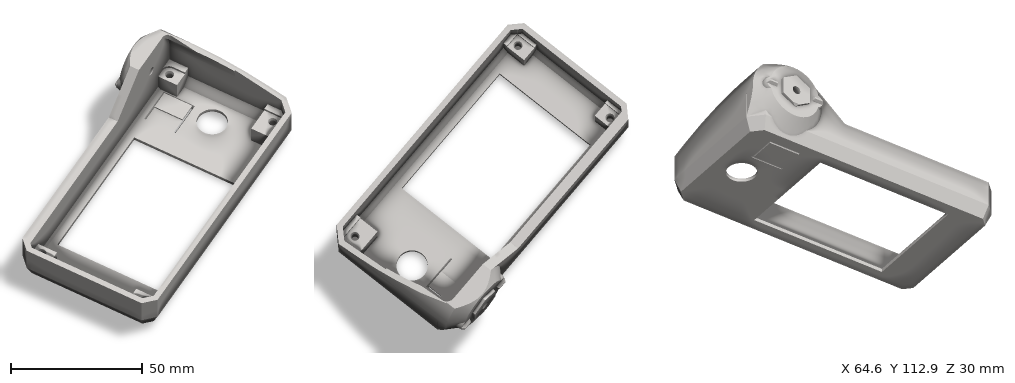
import cadquery as cq
import math

case_width = 59.5
case_length = 112.86
top_z = 30.0
rim_z = 16.3
bevel_height = 5.5
bevel_inset = 2.4
front_corner = 4.5
back_corner = 5.4

wall = 2.25
left_wall = 3.9
floor_thickness = 1.5
floor_x = (4.8, 55.1)
floor_y = (4.4, 107.3)

hub_y = case_length - 16.05
hub_z = 18.4
hub_reach = 3.9
hub_face_radius = 11.2
hub_inner_depth = 5.0
back_round_radius = case_length - hub_y
hub_bore = 3.5
detail_reach = 5.11
hex_flats = 12.2
hex_tip_cut = 0.9
knob_diameter = 6.5
knob_x = -2.1
knob_offset = 10.2
pointer_base = (8.1, 13.1)
pointer_top = (8.6, 12.1)
pointer_base_height = 2.0
pointer_top_height = 0.7

panel_top_front_y = 87.3
panel_slope_end_y = 70.9
scoop_end_x = 32.8
board_corner_radius = 3.0

board_front_y = 3.6
board_back_y = case_length - 4.78
board_right_x = 55.5
seat_z = 9.0
ledge_height = 1.0
post_inner_left_x = 12.2
post_inner_right_x = 47.1
front_post_end_y = 9.8
back_left_post_start_y = case_length - 10.85
back_right_post_start_y = case_length - 14.8
screw_x = (7.2, 52.55)
screw_y = (6.85, 104.95)
screw_bore = 2.7
screw_mouth = 3.5
screw_mouth_depth = 1.0
screw_depth = 5.0

window_x = (7.6, 52.3)
window_y = (18.1, 77.1)
round_window = 12.0
round_window_y = 98.36
flex_x = (6.5, 20.3)
flex_y = (86.8, 101.6)
flex_slot = 0.75
pad_front_y = 93.3
pad_height = 0.6


def block(x_range, y_range, z_range):
    """Axis-aligned box between pairs of coordinates."""
    size = [high - low for low, high in (x_range, y_range, z_range)]
    corner = (x_range[0], y_range[0], z_range[0])
    return cq.Workplane("XY").box(*size, centered=False).translate(corner)


def rectangle(x_range, y_range, outset=0):
    """Corner points of a rectangle grown outward on all sides."""
    left, right = x_range[0] - outset, x_range[1] + outset
    near, far = y_range[0] - outset, y_range[1] + outset
    return [(left, near), (right, near), (right, far), (left, far)]


def chamfered_outline(inset):
    """Corner points of the case outline moved inward, chamfers kept parallel."""
    shrink = inset * (2 - math.sqrt(2))
    front = front_corner - shrink
    back = back_corner - shrink
    left, right = inset, case_width - inset
    near, far = inset, case_length - inset
    return [
        (left + front, near),
        (right - front, near),
        (right, near + front),
        (right, far - back),
        (right - back, far),
        (left + back, far),
        (left, far - back),
        (left, near + front),
    ]


def prism(points, bottom, top):
    return cq.Workplane("XY").workplane(offset=bottom).polyline(points).close().extrude(top - bottom)


def frustum(lower, upper, bottom, top):
    return (
        cq.Workplane("XY").workplane(offset=bottom).polyline(lower).close()
        .workplane(offset=top - bottom).polyline(upper).close()
        .loft(ruled=True)
    )


def x_cylinder(radius, x_start, x_end):
    """Cylinder about the hub axis."""
    return (
        cq.Workplane("YZ", origin=(x_start, hub_y, hub_z)).circle(radius).extrude(x_end - x_start)
    )


def low_case():
    """Solid case up to the rim, with a sloped lower edge."""
    rim = chamfered_outline(0)
    base = chamfered_outline(bevel_inset)
    return frustum(base, rim, 0, bevel_height).union(prism(rim, bevel_height, rim_z))


def side_panel():
    """Left wall raised beside the hub, sloping down to the rim toward the front."""
    profile = [
        (panel_slope_end_y, rim_z),
        (panel_top_front_y, top_z),
        (hub_y, top_z),
        (hub_y, rim_z),
    ]
    return cq.Workplane("YZ").polyline(profile).close().extrude(left_wall)


def raised_back():
    """Back of the case falling from the hub to the rim, rounded about the hub axis."""
    start_x = back_round_radius - hub_face_radius - hub_reach
    wedge = (
        cq.Workplane("XZ", origin=(0, case_length, 0))
        .polyline([
            (start_x, rim_z),
            (case_width - back_corner, rim_z),
            (left_wall, top_z),
            (start_x, top_z),
        ])
        .close().extrude(back_round_radius)
    )
    flat_part = block((start_x, case_width), (hub_y, case_length), (rim_z, hub_z))
    return wedge.intersect(x_cylinder(back_round_radius, start_x, case_width).union(flat_part))


def hub_cone():
    """45-degree cone widening from the hub face into the case."""
    inner_radius = hub_face_radius + hub_reach + hub_inner_depth
    profile = [
        (-hub_reach, 0),
        (hub_inner_depth, 0),
        (hub_inner_depth, inner_radius),
        (-hub_reach, hub_face_radius),
    ]
    cone = cq.Workplane("XY").polyline(profile).close().revolve(360, (0, 0, 0), (1, 0, 0))
    return cone.translate((0, hub_y, hub_z))


def hub():
    """Cone kept within the top, the rounded back and the side panel."""
    below = block((-hub_reach, hub_inner_depth), (0, case_length), (0, hub_z))
    limit = below.union(x_cylinder(back_round_radius, -hub_reach, hub_inner_depth))
    limit = limit.cut(block((0, hub_inner_depth), (0, hub_y), (hub_z, top_z)))
    ceiling = block((-hub_reach, hub_inner_depth), (0, case_length), (0, top_z))
    return hub_cone().intersect(limit).intersect(ceiling)


def hex_boss():
    """Hexagon on the hub face, its lowest corner cut back at an angle."""
    height = detail_reach - hub_reach
    corner_radius = hex_flats / 2 / math.cos(math.pi / 6)
    lowest_z = hub_z - corner_radius
    prism_body = (
        cq.Workplane("YZ", origin=(-detail_reach, hub_y, hub_z))
        .transformed(rotate=(0, 0, 90))
        .polygon(6, 2 * corner_radius)
        .extrude(height)
    )
    tip = (
        cq.Workplane("XZ", origin=(-detail_reach, hub_y, lowest_z))
        .polyline([(0, 0), (height, 0), (0, hex_tip_cut)]).close()
        .extrude(corner_radius / 2, both=True)
    )
    return prism_body.cut(tip)


def knob(side):
    """Ball half sunk in the cone of the hub and trimmed flush with the hub face."""
    ball = cq.Workplane("XY").sphere(knob_diameter / 2)
    ball = ball.translate((knob_x, hub_y + side * knob_offset, hub_z))
    return ball.intersect(block((-hub_reach, left_wall), (0, case_length), (0, top_z)))


def pointer(side):
    """Ridge on the hub face running from the hexagon side out over the knob."""
    base_middle = side * sum(pointer_base) / 2
    top_middle = side * sum(pointer_top) / 2
    return (
        cq.Workplane("YZ", origin=(-hub_reach, hub_y, hub_z))
        .center(base_middle, 0).rect(pointer_base[1] - pointer_base[0], pointer_base_height)
        .workplane(offset=hub_reach - detail_reach)
        .center(top_middle - base_middle, 0).rect(pointer_top[1] - pointer_top[0], pointer_top_height)
        .loft()
    )


def cavity():
    """Inside of the case: sloped floor borders, plain walls and a round scoop beside the hub."""
    inner = prism(chamfered_outline(wall), floor_thickness, hub_z)
    heights = (floor_thickness, hub_z)
    square_back_left = block((left_wall, post_inner_left_x), (hub_y, case_length - wall), heights)
    inner = inner.union(square_back_left)
    rise = hub_z - floor_thickness
    sloped = frustum(rectangle(floor_x, floor_y), rectangle(floor_x, floor_y, rise), floor_thickness, hub_z)
    space = inner.intersect(sloped)
    scoop = x_cylinder(back_round_radius - wall, left_wall, scoop_end_x)
    scoop = scoop.intersect(block((left_wall, scoop_end_x), (hub_y, case_length), (hub_z, top_z)))
    straight = block((scoop_end_x, case_width), (hub_y, case_length - wall), (hub_z, top_z))
    space = space.union(scoop).union(straight)
    return space.intersect(block((left_wall, case_width), (0, case_length), (0, top_z)))


def board_clearance():
    """Space for the board, open to the top."""
    space = block((left_wall, board_right_x), (board_front_y, board_back_y), (seat_z, top_z))
    return space.faces("<X").edges("|Z and >Y").fillet(board_corner_radius)


def posts():
    """Corner posts that carry the board, up to the ledge around it."""
    back = case_length - wall
    heights = (floor_thickness, seat_z + ledge_height)
    left = (left_wall, post_inner_left_x)
    right = (post_inner_right_x, case_width - wall)
    corners = [
        (left, (wall, front_post_end_y)),
        (right, (wall, front_post_end_y)),
        (left, (back_left_post_start_y, back)),
        (right, (back_right_post_start_y, back)),
    ]
    solid = cq.Workplane("XY")
    for x_range, y_range in corners:
        solid = solid.union(block(x_range, y_range, heights))
    return solid


def screw_holes():
    """Blind holes in the posts, each with a tapered mouth."""
    holes = cq.Workplane("XY")
    for x in screw_x:
        for y in screw_y:
            hole = (
                cq.Workplane("XY", origin=(x, y, seat_z)).circle(screw_mouth / 2)
                .workplane(offset=-screw_mouth_depth).circle(screw_bore / 2).loft()
                .faces("<Z").workplane().circle(screw_bore / 2).extrude(screw_depth - screw_mouth_depth)
            )
            holes = holes.union(hole)
    return holes


def flex_frustum(inset):
    """Block with three sides sloping inward down to the underside of the floor."""
    def outline(extra):
        return rectangle((flex_x[0] + extra, flex_x[1] - extra), (flex_y[0], flex_y[1] - extra))

    return frustum(outline(inset + flex_slot), outline(inset), 0, floor_thickness)


def flex_pad():
    """Raised pad on the free end of the flexible tongue."""
    x_range = (flex_x[0] + flex_slot, flex_x[1] - flex_slot)
    y_range = (pad_front_y, flex_y[1] - flex_slot)
    return block(x_range, y_range, (floor_thickness, floor_thickness + pad_height))


def floor_openings():
    """Window, round opening and the U-shaped slot that frees the tongue."""
    window = block(window_x, window_y, (0, floor_thickness))
    porthole = (
        cq.Workplane("XY").center(case_width / 2, round_window_y)
        .circle(round_window / 2).extrude(floor_thickness)
    )
    slot = flex_frustum(0).cut(flex_frustum(flex_slot))
    return window.union(porthole).union(slot)


body = low_case().union(side_panel()).union(raised_back()).union(hub())
body = body.cut(cavity())
body = body.union(posts().intersect(low_case()))
body = body.cut(board_clearance()).cut(screw_holes()).cut(floor_openings())
body = body.union(flex_pad()).union(hex_boss())
for side in (-1, 1):
    body = body.union(knob(side)).union(pointer(side))
result = body.cut(x_cylinder(hub_bore / 2, -detail_reach, left_wall))